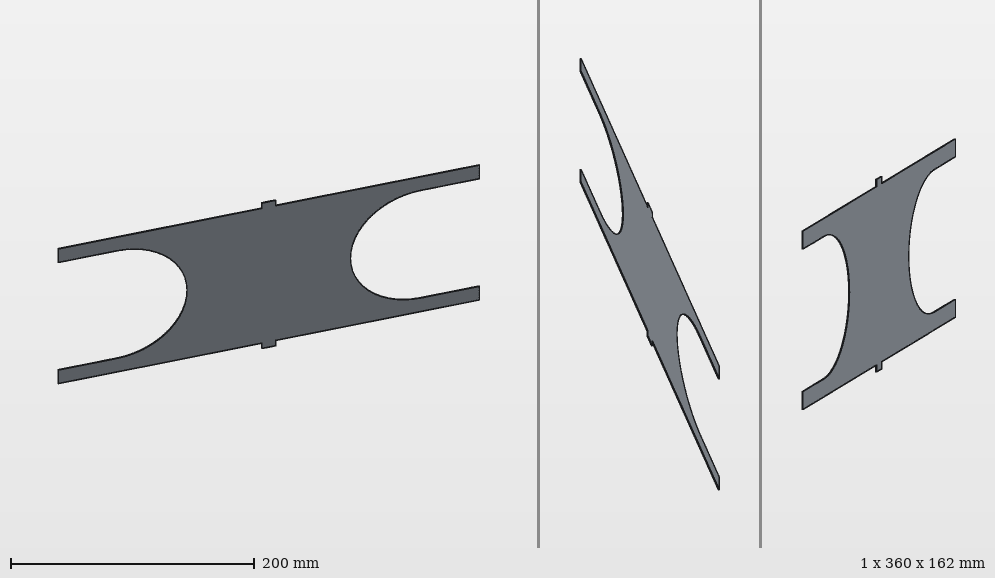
import cadquery as cq

thickness = 1.0
length = 360.0
overall_height = 162.0
body_height = 150.0
tab_width = 12.0
notch_height = 120.0
notch_depth = 110.0

notch_radius = notch_height / 2
arc_center_y = length / 2 - notch_depth + notch_radius


def plate(size_y, size_z):
    """Rectangular plate centred on the origin."""
    return cq.Workplane("XY").box(thickness, size_y, size_z)


def end_notch(side):
    """Round-bottomed notch open at the +Y (side = 1) or -Y (side = -1) end."""
    end_y = side * length / 2
    center_y = side * arc_center_y
    bottom_y = side * (length / 2 - notch_depth)
    return (
        cq.Workplane("YZ")
        .moveTo(end_y, notch_radius)
        .lineTo(center_y, notch_radius)
        .threePointArc((bottom_y, 0), (center_y, -notch_radius))
        .lineTo(end_y, -notch_radius)
        .close()
        .extrude(thickness / 2, both=True)
    )


result = plate(length, body_height).union(plate(tab_width, overall_height))

for side in (-1, 1):
    result = result.cut(end_notch(side))